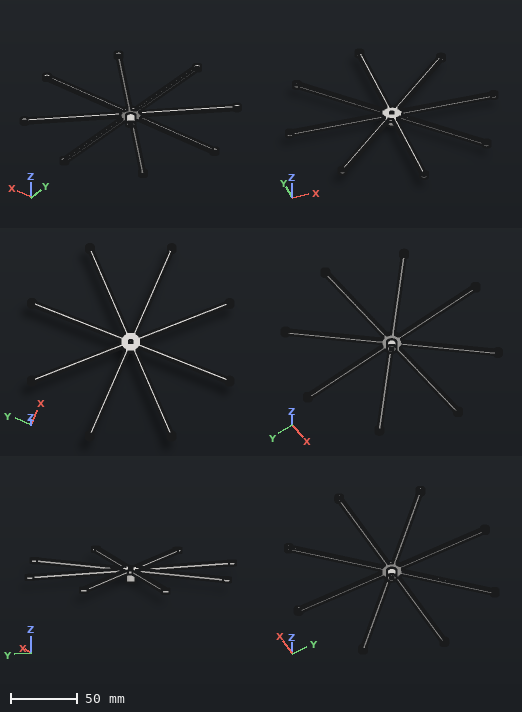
import cadquery as cq

span = 166.0
spoke_count = 8
plate_thickness = 3.0
spoke_width = 3.0
eye_diameter = 6.0
eye_hole_diameter = 3.0
hub_diameter = 16.0
hub_hole_diameter = 2.5
post_diameter = 7.5
post_length = 7.5

eye_radius_from_axis = (span - eye_diameter) / 2
spoke_step = 360 / spoke_count


def make_disc(diameter):
    """Disc of plate thickness, centred on the origin with its bottom at Z = 0."""
    return cq.Workplane("XY").circle(diameter / 2).extrude(plate_thickness)


def make_spoke():
    """Bar along +X from the hub axis to a round eye at its tip."""
    bar = cq.Workplane("XY").box(
        eye_radius_from_axis, spoke_width, plate_thickness, centered=(False, True, False)
    )
    eye = make_disc(eye_diameter).translate((eye_radius_from_axis, 0, 0))
    eye_hole = make_disc(eye_hole_diameter).translate((eye_radius_from_axis, 0, 0))
    return bar.union(eye).cut(eye_hole)


def make_post():
    """Round post hanging below the hub."""
    return cq.Workplane("XY").circle(post_diameter / 2).extrude(-post_length)


result = make_disc(hub_diameter).union(make_post())
for index in range(spoke_count):
    spoke = make_spoke().rotate((0, 0, 0), (0, 0, 1), index * spoke_step)
    result = result.union(spoke)

result = result.faces(">Z").workplane(origin=(0, 0, 0)).circle(hub_hole_diameter / 2).cutThruAll()